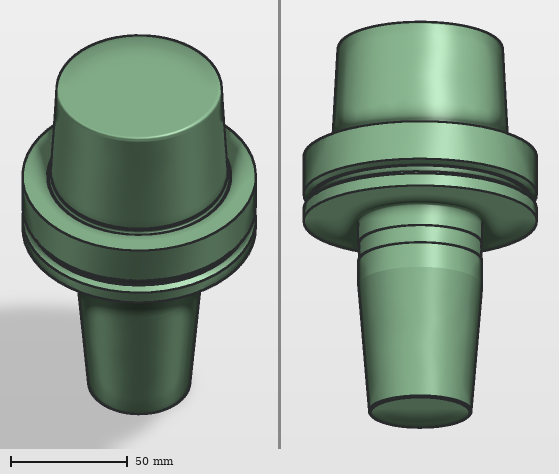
import cadquery as cq
import math

total_height = 164.9
flange_top = 115.0
flange_bottom = 86.0
groove_top = 98.1
groove_bottom = 91.5
nose_cone_top = 56.9
band_bottom = 68.1
band_top = 75.9
taper_bottom = 117.0
neck_bottom = 115.8

flange_radius = 50.0
groove_step_radius = 47.3
groove_radius = 46.2
shank_radius = 26.5
band_depth = 0.3
nose_radius = 22.0
taper_base_radius = 38.0
taper_top_radius = 35.5
neck_radius = 37.5

groove_flank_height = 1.8
shank_fillet = 1.3
nose_chamfer = 0.7
taper_fillet = 2.0
relief_fillet = 1.3
relief_outer_radius = 39.4


def point_on_arc(center_r, center_z, radius, angle_degrees):
    """Point on an arc in the radius/height plane."""
    angle = math.radians(angle_degrees)
    return center_r + radius * math.cos(angle), center_z + radius * math.sin(angle)


band_radius = shank_radius - band_depth
groove_floor_bottom = groove_bottom + groove_flank_height
groove_floor_top = groove_top - groove_flank_height
relief_floor = neck_bottom - relief_fillet
relief_floor_radius = neck_radius + relief_fillet
shank_fillet_edge = shank_radius + shank_fillet
shank_fillet_start = flange_bottom - shank_fillet
taper_fillet_start = total_height - taper_fillet

profile = (
    cq.Workplane("XZ")
    .moveTo(0, 0)
    .lineTo(nose_radius - nose_chamfer, 0)
    .lineTo(nose_radius, nose_chamfer)
    .lineTo(shank_radius, nose_cone_top)
    .lineTo(shank_radius, band_bottom)
    .lineTo(band_radius, band_bottom)
    .lineTo(band_radius, band_top)
    .lineTo(shank_radius, band_top)
    .lineTo(shank_radius, shank_fillet_start)
    .threePointArc(
        point_on_arc(shank_fillet_edge, shank_fillet_start, shank_fillet, 135),
        (shank_fillet_edge, flange_bottom),
    )
    .lineTo(flange_radius, flange_bottom)
    .lineTo(flange_radius, groove_bottom)
    .lineTo(groove_step_radius, groove_floor_bottom)
    .lineTo(groove_radius, groove_floor_bottom)
    .lineTo(groove_radius, groove_floor_top)
    .lineTo(groove_step_radius, groove_floor_top)
    .lineTo(flange_radius, groove_top)
    .lineTo(flange_radius, flange_top)
    .lineTo(relief_outer_radius, flange_top)
    .lineTo(relief_floor_radius, relief_floor)
    .threePointArc(
        point_on_arc(relief_floor_radius, neck_bottom, relief_fillet, 225),
        (neck_radius, neck_bottom),
    )
    .lineTo(taper_base_radius, taper_bottom)
    .lineTo(taper_top_radius, taper_fillet_start)
    .threePointArc(
        point_on_arc(taper_top_radius - taper_fillet, taper_fillet_start, taper_fillet, 45),
        (taper_top_radius - taper_fillet, total_height),
    )
    .lineTo(0, total_height)
    .close()
)

result = profile.revolve(360, (0, 0, 0), (0, 1, 0))